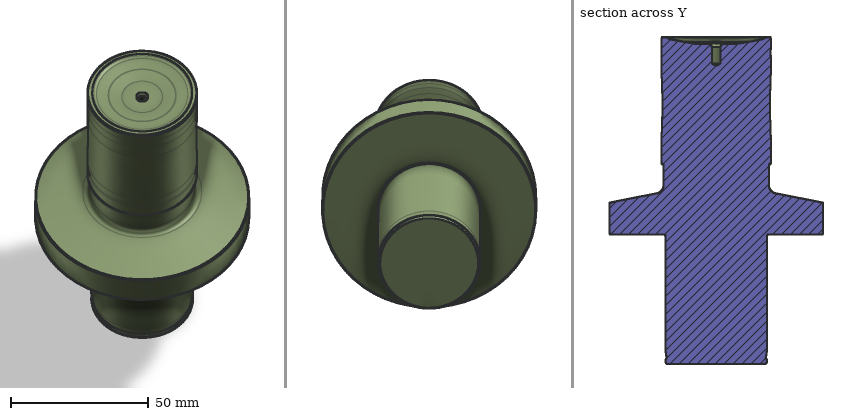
import cadquery as cq
import math

height = 119.0

spigot_radius = 18.6
lip_height = 2.1
lip_bottom_radius = 17.8
lip_bulge_radius = 18.6
lip_neck_radius = 18.1
lip_bulge_z = 1.1
groove_floor_radius = 18.2
groove_floor_z = 2.5
groove_top_z = 5.0

flange_diameter = 78.0
flange_radius = flange_diameter / 2
flange_bottom_z = 47.1
flange_edge_z = 58.9
flange_chamfer = 0.4
root_chamfer = 0.4

neck_radius = 19.3
blend_foot_radius = 21.7
blend_foot_z = 62.2

head_radius = 20.0
head_bottom_z = 72.7
head_chamfer = 0.4
rim_chamfer_width = 0.2
rim_chamfer_height = 0.6
score_bottom_z = 77.8
score_top_z = 78.7
score_depth = 0.06
waist_bottom_z = 82.2
waist_top_z = 106.3
waist_depth = 0.3
relief_bottom_z = 111.6
relief_top_z = 115.2
relief_depth = 0.06

dish_rings = [(18.2, 0), (17.6, 0.2), (16.7, 0.7), (12.4, 1.5), (12.1, 1.5), (7.4, 2.4)]
dish_floor_depth = dish_rings[-1][1]

hole_radius = 1.4
hole_mouth_radius = 2.1
countersink_depth = 1.2
hole_depth = 7.1
hole_tip_height = 0.8


def make_body():
    """Revolve the half section of the spigot, flange, neck and head."""
    slope_start_radius = flange_radius - flange_chamfer
    slope = (blend_foot_z - flange_edge_z) / (slope_start_radius - blend_foot_radius)
    blend_width = blend_foot_radius - neck_radius
    blend_rise = blend_width * slope
    blend_top_z = blend_foot_z + blend_rise + math.hypot(blend_width, blend_rise)

    half_section = (
        cq.Workplane("XZ")
        .lineTo(lip_bottom_radius, 0)
        .threePointArc((lip_bulge_radius, lip_bulge_z), (lip_neck_radius, lip_height))
        .lineTo(groove_floor_radius, groove_floor_z)
        .lineTo(spigot_radius, groove_top_z)
        .lineTo(spigot_radius, flange_bottom_z - root_chamfer)
        .lineTo(spigot_radius + root_chamfer, flange_bottom_z)
        .lineTo(flange_radius - flange_chamfer, flange_bottom_z)
        .lineTo(flange_radius, flange_bottom_z + flange_chamfer)
        .lineTo(flange_radius, flange_edge_z - flange_chamfer)
        .lineTo(slope_start_radius, flange_edge_z)
        .lineTo(blend_foot_radius, blend_foot_z)
        .tangentArcPoint((neck_radius, blend_top_z), relative=False)
        .lineTo(neck_radius, head_bottom_z)
        .lineTo(head_radius - head_chamfer, head_bottom_z)
        .lineTo(head_radius, head_bottom_z + head_chamfer)
        .lineTo(head_radius, score_bottom_z)
        .threePointArc(
            (head_radius - score_depth, (score_bottom_z + score_top_z) / 2),
            (head_radius, score_top_z),
        )
        .lineTo(head_radius, waist_bottom_z)
        .threePointArc(
            (head_radius - waist_depth, (waist_bottom_z + waist_top_z) / 2),
            (head_radius, waist_top_z),
        )
        .lineTo(head_radius, relief_bottom_z)
        .threePointArc(
            (head_radius - relief_depth, (relief_bottom_z + relief_top_z) / 2),
            (head_radius, relief_top_z),
        )
        .lineTo(head_radius, height - rim_chamfer_height)
        .lineTo(head_radius - rim_chamfer_width, height)
    )
    for radius, depth in dish_rings:
        half_section = half_section.lineTo(radius, height - depth)
    half_section = half_section.lineTo(0, height - dish_floor_depth).close()
    return half_section.revolve(360, (0, 0), (0, 1))


def make_centre_hole():
    """Countersunk blind hole with a conical tip."""
    floor_z = height - dish_floor_depth
    return (
        cq.Workplane("XZ")
        .moveTo(0, floor_z)
        .lineTo(hole_mouth_radius, floor_z)
        .lineTo(hole_radius, floor_z - countersink_depth)
        .lineTo(hole_radius, floor_z - hole_depth)
        .lineTo(0, floor_z - hole_depth - hole_tip_height)
        .close()
        .revolve(360, (0, 0), (0, 1))
    )


result = make_body().cut(make_centre_hole())